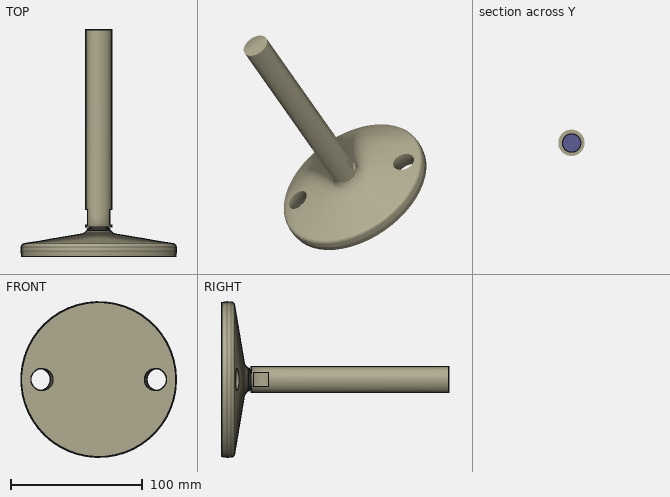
import cadquery as cq
import math


total_height = 172.0
base_height = 22.3
spindle_length = total_height - base_height

spindle_diameter = 20.0
flats_width = 17.0
flats_length = 11.5
flats_offset = 1.7

rim_radius = 59.0
underside_radius = 58.4
taper_height = 4.1
shoulder_radius = 58.8
rim_height = 7.1
rim_fillet = 2.7

slope_angle = math.radians(9.5)

foot_angle = math.radians(44)
foot_blend = 4.5
foot_top_radius = 8.8
foot_top_height = 19.8
bead_radius = 8.7
bead_height = 20.8
groove_radius = 8.0
crown_radius = 4.2
crown_bulge = 0.2

hole_diameter = 16.5
hole_offset = 42.9
hole_depth = 2 * base_height


def make_base():
    """Revolved plate with a tapered rim, sloping top and beaded collar, with two inclined holes."""
    fillet_centre = (shoulder_radius - rim_fillet, rim_height)

    def on_fillet(angle_from_axis):
        return (
            fillet_centre[0] + rim_fillet * math.sin(angle_from_axis),
            fillet_centre[1] + rim_fillet * math.cos(angle_from_axis),
        )

    slope_start = on_fillet(slope_angle)
    fillet_middle = on_fillet((slope_angle + math.pi / 2) / 2)

    slope_rise = math.tan(slope_angle)
    foot_rise = math.tan(foot_angle)
    corner_radius = (
        foot_top_height - slope_start[1] + foot_top_radius * foot_rise - slope_start[0] * slope_rise
    ) / (foot_rise - slope_rise)
    corner_height = foot_top_height - (corner_radius - foot_top_radius) * foot_rise
    blend_reach = foot_blend * math.tan((foot_angle - slope_angle) / 2)
    slope_end = (
        corner_radius + blend_reach * math.cos(slope_angle),
        corner_height - blend_reach * math.sin(slope_angle),
    )
    foot_start = (
        corner_radius - blend_reach * math.cos(foot_angle),
        corner_height + blend_reach * math.sin(foot_angle),
    )

    crown_middle = (
        (bead_radius + crown_radius) / 2 + crown_bulge,
        (bead_height + base_height) / 2 + crown_bulge,
    )

    base = (
        cq.Workplane("XY")
        .lineTo(underside_radius, 0)
        .lineTo(rim_radius, taper_height)
        .lineTo(shoulder_radius, rim_height)
        .threePointArc(fillet_middle, slope_start)
        .lineTo(*slope_end)
        .tangentArcPoint(foot_start, relative=False)
        .lineTo(foot_top_radius, foot_top_height)
        .lineTo(groove_radius, foot_top_height)
        .lineTo(bead_radius, bead_height)
        .threePointArc(crown_middle, (crown_radius, base_height))
        .lineTo(0, base_height)
        .close()
        .revolve(360, (0, 0), (0, 1))
    )
    for side in (-1, 1):
        base = base.cut(make_hole_cutter(side))
    return base.solids()


def make_hole_cutter(side):
    """Cylinder through the base on the given side of the axis, leaning outward towards the top."""
    axis = cq.Vector(side * math.sin(slope_angle), math.cos(slope_angle), 0)
    start = cq.Vector(side * hole_offset, 0, 0) - axis * (hole_depth / 2)
    return cq.Workplane(cq.Solid.makeCylinder(hole_diameter / 2, hole_depth, start, axis))


def make_spindle():
    """Round bar standing on the collar, with two wrench flats near its lower end."""
    spindle = (
        cq.Workplane("XZ", origin=(0, base_height, 0))
        .circle(spindle_diameter / 2)
        .extrude(-spindle_length)
    )
    flats_middle = base_height + flats_offset + flats_length / 2
    flat_depth = (spindle_diameter - flats_width) / 2
    for side in (-1, 1):
        cutter = cq.Workplane("XY").box(flat_depth, flats_length, spindle_diameter)
        spindle = spindle.cut(cutter.translate((side * (flats_width + flat_depth) / 2, flats_middle, 0)))
    return spindle.solids()


base = make_base()
spindle = make_spindle()

result = cq.Compound.makeCompound([base.val(), spindle.val()])